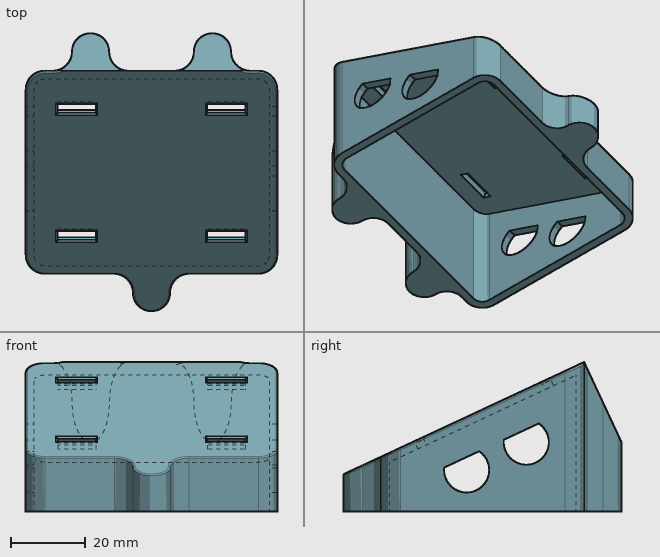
import math

import cadquery as cq

WALL = 2.2
BODY_WIDTH = 67.4
SLOPE_ANGLE = 25.0
SLOPE_LENGTH = 60.0
PEAK_HEIGHT = 40.0
CORNER_RADIUS = 5.2
LOBE_RADIUS = 5.0
REAR_LOBE_X = 16.3
RIM_FILLET = 0.5

SLOT_LENGTH = 10.1
SLOT_WIDTH = 2.5
SLOT_CHAMFER = 0.5
SLOT_SPACING_X = 40.0
SLOT_SPACING_SLOPE = 37.5
SLOT_MIDPOINT = 30.15

OPENING_RADIUS = 6.0
OPENING_DEPTH = 12.9
OPENING_FLAT_DEPTH = 9.8
OPENING_DISTANCES = (23.1, 40.7)

SLOPE_SIN = math.sin(math.radians(SLOPE_ANGLE))
SLOPE_COS = math.cos(math.radians(SLOPE_ANGLE))
BODY_DEPTH = SLOPE_LENGTH * SLOPE_COS
REAR_Y = BODY_DEPTH / 2
BLANK_HEIGHT = 1.5 * PEAK_HEIGHT
OVERSIZE = 200.0


def slope_plane(distance, depth=0.0, x=0.0):
    """Plane on the slope: x across, y uphill, z outward; measured from the ridge."""
    ridge = cq.Plane(
        origin=(0, REAR_Y, PEAK_HEIGHT),
        xDir=(1, 0, 0),
        normal=(0, -SLOPE_SIN, SLOPE_COS),
    )
    return cq.Plane(ridge.toWorldCoords((x, -distance, -depth)), ridge.xDir, ridge.zDir)


def above_slope(depth=0.0):
    """Everything above a plane parallel to the slope."""
    return cq.Workplane(slope_plane(0, depth)).rect(OVERSIZE, OVERSIZE).extrude(OVERSIZE)


def rounded_block(width, depth, radius):
    """Upright block with rounded corners, before the slope is cut."""
    block = cq.Workplane("XY").rect(width, depth).extrude(BLANK_HEIGHT)
    return block.edges("|Z").fillet(radius)


def lobe(x, side):
    """Round lobe blended into the wall by concave quarter arcs; side is +1 rear, -1 front."""
    wall_y = side * REAR_Y
    centre_y = side * (REAR_Y + LOBE_RADIUS)
    tip_y = side * (REAR_Y + 2 * LOBE_RADIUS)
    root = 2 * LOBE_RADIUS
    diagonal = LOBE_RADIUS * math.sin(math.pi / 4)
    arc_x = root - diagonal
    arc_y = centre_y - side * diagonal
    return (
        cq.Workplane("XY")
        .moveTo(x - root, wall_y)
        .threePointArc((x - arc_x, arc_y), (x - LOBE_RADIUS, centre_y))
        .threePointArc((x, tip_y), (x + LOBE_RADIUS, centre_y))
        .threePointArc((x + arc_x, arc_y), (x + root, wall_y))
        .lineTo(x + root, wall_y - side * WALL)
        .lineTo(x - root, wall_y - side * WALL)
        .close()
        .extrude(BLANK_HEIGHT)
    )


def ridge_bar():
    """Plain strip that keeps the ridge sharp between the rear lobes."""
    bar = (
        cq.Workplane("XY")
        .center(0, REAR_Y - WALL / 2)
        .rect(2 * REAR_LOBE_X, WALL)
        .extrude(BLANK_HEIGHT)
    )
    return bar.cut(above_slope())


def beyond_ridge():
    """Everything behind the plane that falls from the ridge square to the slope."""
    return (
        cq.Workplane(slope_plane(0))
        .center(0, OVERSIZE / 2)
        .rect(OVERSIZE, OVERSIZE)
        .extrude(OVERSIZE, both=True)
    )


def wedge():
    """Sloped body with its three lobes and a rounded upper rim."""
    body = rounded_block(BODY_WIDTH, BODY_DEPTH, CORNER_RADIUS)
    body = body.union(lobe(0, -1))
    for x in (-REAR_LOBE_X, REAR_LOBE_X):
        body = body.union(lobe(x, 1))
    body = body.cut(above_slope())
    rim_finder = cq.selectors.DirectionNthSelector(slope_plane(0).zDir, -1)
    body = body.faces(rim_finder).edges().fillet(RIM_FILLET)
    return body.union(ridge_bar()).cut(beyond_ridge())


def cavity():
    """Open-bottomed hollow with an even wall all around."""
    block = rounded_block(BODY_WIDTH - 2 * WALL, BODY_DEPTH - 2 * WALL, CORNER_RADIUS - WALL)
    return block.cut(above_slope(WALL))


def slot(x, distance):
    """Slot square to the slope, with a chamfered mouth."""
    plane = slope_plane(distance, 0, x)
    through = cq.Workplane(plane).rect(SLOT_LENGTH, SLOT_WIDTH).extrude(-2 * WALL)
    mouth = (
        cq.Workplane(plane)
        .rect(SLOT_LENGTH + 2 * SLOT_CHAMFER, SLOT_WIDTH + 2 * SLOT_CHAMFER)
        .workplane(offset=-SLOT_CHAMFER)
        .rect(SLOT_LENGTH, SLOT_WIDTH)
        .loft(ruled=True)
    )
    return through.union(mouth)


def side_opening(distance):
    """Round opening through both side walls with a flat parallel to the slope."""
    _, y, z = slope_plane(distance, OPENING_DEPTH).origin.toTuple()
    bore = cq.Workplane("YZ").center(y, z).circle(OPENING_RADIUS).extrude(BODY_WIDTH, both=True)
    return bore.cut(above_slope(OPENING_FLAT_DEPTH))


result = wedge().cut(cavity())

for side in (-1, 1):
    for row in (-1, 1):
        slot_x = side * SLOT_SPACING_X / 2
        slot_distance = SLOT_MIDPOINT + row * SLOT_SPACING_SLOPE / 2
        result = result.cut(slot(slot_x, slot_distance))

for opening_distance in OPENING_DISTANCES:
    result = result.cut(side_opening(opening_distance))